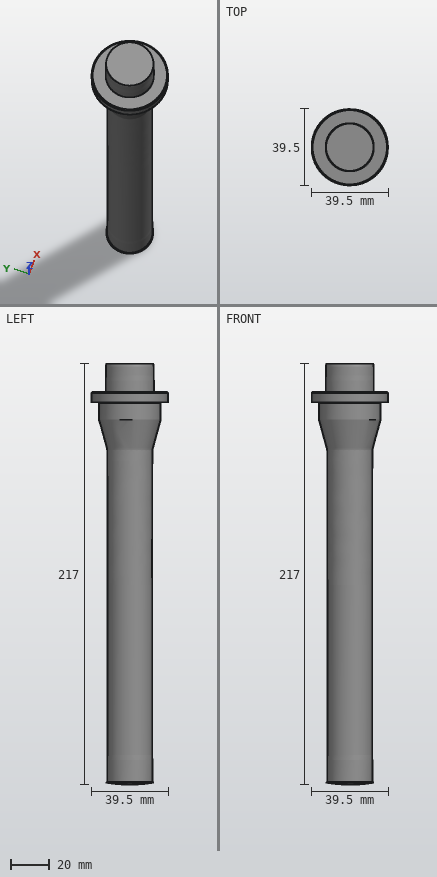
import cadquery as cq

total_height = 217.0
flare_top = 1.5
lip_height = 1.0
foot_step_bottom = 12.8
foot_step_top = 15.5
taper_bottom = 103.0
taper_top = 167.0
cone_bottom = 172.3
cone_corner = 173.4
cone_top = 188.1
socket_top = 196.5
flange_bottom = 197.0
flange_top = 202.5
spigot_step_bottom = 208.3
spigot_step_top = 211.0
top_bevel_start = 215.5

lip_diameter = 24.3
shaft_diameter = 23.5
waist_diameter = 23.2
socket_diameter = 32.0
flange_diameter = 39.5
spigot_base_diameter = 25.0
spigot_diameter = 24.7
spigot_end_diameter = 24.3

flange_chamfer = 0.7


def revolved(outline):
    """Solid of revolution about Z from a closed half outline in the XZ plane."""
    return outline.close().revolve(360, (0, 0, 0), (0, 1, 0))


def make_stem():
    """Long shaft with a slim waist and a domed lip at its foot, widening into a socket at the top."""
    shaft_radius = shaft_diameter / 2
    waist_radius = waist_diameter / 2
    socket_radius = socket_diameter / 2
    lip_radius = lip_diameter / 2
    dome_radius = (lip_radius**2 + lip_height**2) / (2 * lip_height)
    outline = (
        cq.Workplane("XZ")
        .moveTo(0, 0)
        .radiusArc((lip_radius, lip_height), -dome_radius)
        .lineTo(shaft_radius, flare_top)
        .lineTo(shaft_radius, foot_step_bottom)
        .lineTo(waist_radius, foot_step_top)
        .lineTo(waist_radius, taper_bottom)
        .lineTo(shaft_radius, taper_top)
        .lineTo(shaft_radius, cone_bottom)
        .bezier([
            (shaft_radius, cone_bottom),
            (shaft_radius, cone_corner),
            (socket_radius, cone_top),
        ])
        .lineTo(socket_radius, socket_top)
        .lineTo(0, socket_top)
    )
    return revolved(outline)


def make_head():
    """Flanged head with a thin shoulder flush with the socket and a stepped, bevelled spigot."""
    shoulder_radius = socket_diameter / 2
    flange_radius = flange_diameter / 2
    base_radius = spigot_base_diameter / 2
    spigot_radius = spigot_diameter / 2
    outline = (
        cq.Workplane("XZ")
        .moveTo(0, socket_top)
        .lineTo(shoulder_radius, socket_top)
        .lineTo(shoulder_radius, flange_bottom)
        .lineTo(flange_radius, flange_bottom)
        .lineTo(flange_radius, flange_top - flange_chamfer)
        .lineTo(flange_radius - flange_chamfer, flange_top)
        .lineTo(base_radius, flange_top)
        .lineTo(base_radius, spigot_step_bottom)
        .lineTo(spigot_radius, spigot_step_top)
        .lineTo(spigot_radius, top_bevel_start)
        .lineTo(spigot_end_diameter / 2, total_height)
        .lineTo(0, total_height)
    )
    return revolved(outline)


stem = make_stem()
head = make_head()
result = cq.Compound.makeCompound([stem.val(), head.val()])